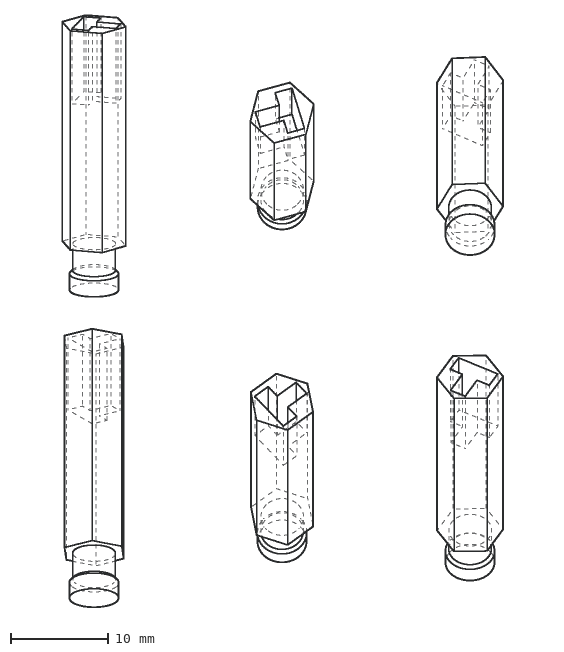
import cadquery as cq
import math

total_length = 28.5
hex_across_flats = 5.9
hex_across_corners = hex_across_flats * 2 / math.sqrt(3)

shank_length = 5.0
neck_length = 2.9
neck_radius = 2.2
head_radius = 2.55
shoulder_height = head_radius - neck_radius
neck_bottom = shank_length - neck_length
head_top = neck_bottom - shoulder_height

socket_depth = 7.98
bar_left = -1.75
bar_width = 1.8
bar_length = 4.6
stem_right = 2.6
stem_width = 1.7


def hex_body():
    """Hexagonal prism with corners on the X axis."""
    return (
        cq.Workplane("XY")
        .workplane(offset=shank_length)
        .polygon(6, hex_across_corners)
        .extrude(total_length - shank_length)
    )


def round_end():
    """Revolved neck that widens through a 45 degree shoulder into the head."""
    profile = [
        (0, 0),
        (head_radius, 0),
        (head_radius, head_top),
        (neck_radius, neck_bottom),
        (neck_radius, shank_length),
        (0, shank_length),
    ]
    return cq.Workplane("XZ").polyline(profile).close().revolve(360, (0, 0), (0, 1))


def socket_block(width, length):
    """Cutter block from the socket's left wall, centred on Y and open at the top."""
    return (
        cq.Workplane("XY")
        .workplane(offset=total_length - socket_depth)
        .center(bar_left + width / 2, 0)
        .rect(width, length)
        .extrude(socket_depth)
    )


def socket():
    """T-shaped cutter: a bar along Y and a stem pointing to +X."""
    bar = socket_block(bar_width, bar_length)
    stem = socket_block(stem_right - bar_left, stem_width)
    return bar.union(stem)


result = hex_body().union(round_end()).cut(socket())